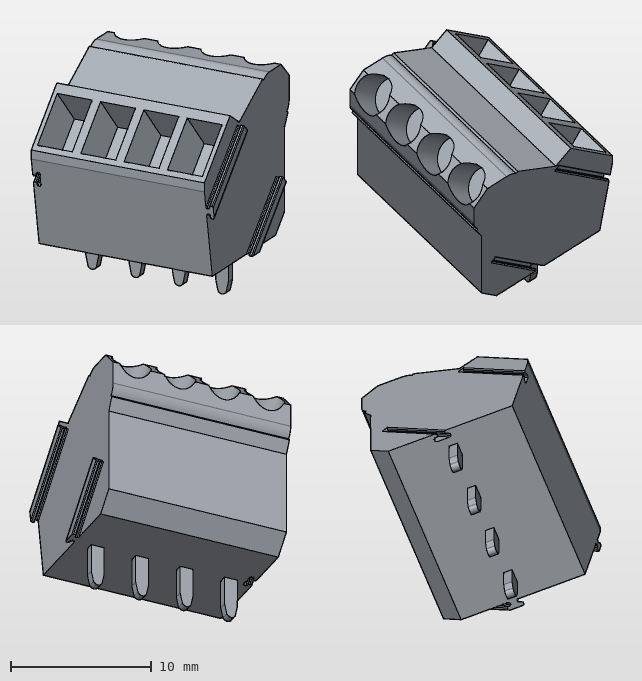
import cadquery as cq
import math

SQRT2 = math.sqrt(2)

TERMINAL_COUNT = 4
PITCH = 3.5
HOUSING_WIDTH = TERMINAL_COUNT * PITCH
TERMINAL_X = [(i + 0.5) * PITCH for i in range(TERMINAL_COUNT)]

HEAD_SIZE = 12.7
HEAD_CHAMFER = 1.24
HEAD_FLAT_END = 9.71
NOTCH_ALONG = 8.85
NOTCH_ACROSS = 12.37
LIP_ALONG = 8.7
LIP_ACROSS = 12.5
ROUNDING_RUN = HEAD_FLAT_END - NOTCH_ALONG
ROUNDING_DROP = HEAD_SIZE - NOTCH_ACROSS
ROUNDING_RADIUS = (ROUNDING_RUN**2 + ROUNDING_DROP**2) / (2 * ROUNDING_DROP)

REAR_Y = 12.0
REAR_STEP_Z = 7.78
REAR_CHAMFER = 1.35
VALLEY_Y = 5.22
VALLEY_Z = 10.38
WIRE_FACE_RUN = 3.83
WIRE_FACE_LOW_Z = 7.49
FRONT_SLOPE_TOP_Z = 6.8
FRONT_FOOT_Y = 1.18

SCREW_HOLE_DIAMETER = 2.99
SCREW_HOLE_DEPTH = 2.7

FUNNEL_WIDTH = 2.81
FUNNEL_HEIGHT = 4.18
FUNNEL_DEPTH = 2.48
FUNNEL_TAPER = 15.5
FUNNEL_CENTRE_Y = 1.8
FUNNEL_CENTRE_Z = WIRE_FACE_LOW_Z + FUNNEL_CENTRE_Y

RAIL_DEPTH = 0.6
RAIL_NECK_DEPTH = 0.29
RAIL_NECK_WIDTH = 0.4
RAIL_HEAD_WIDTH = 0.86
RAIL_CHAMFER = 0.08
UPPER_RAIL_TOP = (5.1, 10.05)
RAIL_SPACING = 8.2
LOWER_RAIL_TOP = (
    UPPER_RAIL_TOP[0] + RAIL_SPACING / SQRT2,
    UPPER_RAIL_TOP[1] - RAIL_SPACING / SQRT2,
)
RAIL_CUT_LENGTH = 15.9

PIN_LENGTH = 3.2
PIN_WIDTH = 1.02
PIN_THICKNESS = 0.64
PIN_Y = 6.19
PIN_TAPER_START = 2.2
PIN_TIP_START = 2.99
PIN_TIP_WIDTH = 0.67


def outline_block(length):
    """Prism of the housing side outline, from X = 0 along +X."""
    return (
        cq.Workplane("YZ")
        .moveTo(FRONT_FOOT_Y, 0)
        .lineTo(0, FRONT_SLOPE_TOP_Z)
        .lineTo(0, WIRE_FACE_LOW_Z)
        .line(WIRE_FACE_RUN, WIRE_FACE_RUN)
        .lineTo(VALLEY_Y, VALLEY_Z)
        .lineTo(LIP_ALONG, LIP_ACROSS)
        .lineTo(NOTCH_ALONG, NOTCH_ACROSS)
        .radiusArc((HEAD_FLAT_END, HEAD_SIZE), ROUNDING_RADIUS)
        .lineTo(HEAD_SIZE - HEAD_CHAMFER, HEAD_SIZE)
        .line(HEAD_CHAMFER, -HEAD_CHAMFER)
        .lineTo(HEAD_SIZE, HEAD_FLAT_END)
        .radiusArc((NOTCH_ACROSS, NOTCH_ALONG), ROUNDING_RADIUS)
        .lineTo(LIP_ACROSS, LIP_ALONG)
        .lineTo(REAR_Y, REAR_STEP_Z)
        .lineTo(REAR_Y, REAR_CHAMFER)
        .line(-REAR_CHAMFER, -REAR_CHAMFER)
        .close()
        .extrude(length)
    )


def screw_hole(x):
    """Cylinder entering the middle of the head chamfer; its upper end stands clear of the head."""
    chamfer_middle = HEAD_SIZE - HEAD_CHAMFER / 2
    clearance = SCREW_HOLE_DIAMETER
    start = chamfer_middle + clearance / SQRT2
    plane = cq.Plane(origin=(x, start, start), xDir=(1, 0, 0), normal=(0, -1, -1))
    return cq.Workplane(plane).circle(SCREW_HOLE_DIAMETER / 2).extrude(clearance + SCREW_HOLE_DEPTH)


def wire_funnel(x):
    """Rectangular pocket that narrows inward from the wire face."""
    plane = cq.Plane(origin=(x, FUNNEL_CENTRE_Y, FUNNEL_CENTRE_Z), xDir=(1, 0, 0), normal=(0, 1, -1))
    return (
        cq.Workplane(plane)
        .rect(FUNNEL_WIDTH, FUNNEL_HEIGHT)
        .extrude(FUNNEL_DEPTH, taper=FUNNEL_TAPER)
    )


def rail(x, top):
    """T-shaped bar rooted at the plane X = x, running down and forward from its upper end."""
    plane = cq.Plane(origin=(x, *top), xDir=(1, 0, 0), normal=(0, -1, -1))
    neck = RAIL_NECK_WIDTH / 2
    head = RAIL_HEAD_WIDTH / 2
    half_profile = [
        (0, neck + RAIL_CHAMFER),
        (RAIL_CHAMFER, neck),
        (RAIL_NECK_DEPTH - RAIL_CHAMFER, neck),
        (RAIL_NECK_DEPTH, neck + RAIL_CHAMFER),
        (RAIL_NECK_DEPTH, head - RAIL_CHAMFER),
        (RAIL_NECK_DEPTH + RAIL_CHAMFER, head),
        (RAIL_DEPTH - RAIL_CHAMFER, head),
        (RAIL_DEPTH, head - RAIL_CHAMFER),
    ]
    other_half = [(depth, -offset) for depth, offset in reversed(half_profile)]
    return cq.Workplane(plane).polyline(half_profile + other_half).close().extrude(RAIL_CUT_LENGTH)


def make_housing():
    housing = outline_block(HOUSING_WIDTH)
    rail_limit = outline_block(HOUSING_WIDTH + RAIL_DEPTH)
    for top in (UPPER_RAIL_TOP, LOWER_RAIL_TOP):
        housing = housing.cut(rail(0, top))
        housing = housing.union(rail(HOUSING_WIDTH, top).intersect(rail_limit))
    for x in TERMINAL_X:
        housing = housing.cut(screw_hole(x)).cut(wire_funnel(x))
    return housing


def make_solder_pin(x):
    """Flat pin hanging from the housing underside, tapered to a rounded tip."""
    return (
        cq.Workplane("XZ", origin=(x, PIN_Y + PIN_THICKNESS / 2, 0))
        .moveTo(-PIN_WIDTH / 2, 0)
        .lineTo(-PIN_WIDTH / 2, -PIN_TAPER_START)
        .lineTo(-PIN_TIP_WIDTH / 2, -PIN_TIP_START)
        .threePointArc((0, -PIN_LENGTH), (PIN_TIP_WIDTH / 2, -PIN_TIP_START))
        .lineTo(PIN_WIDTH / 2, -PIN_TAPER_START)
        .lineTo(PIN_WIDTH / 2, 0)
        .close()
        .extrude(PIN_THICKNESS)
    )


housing = make_housing()
solder_pins = [make_solder_pin(x) for x in TERMINAL_X]

result = cq.Compound.makeCompound([housing.val(), *[pin.val() for pin in solder_pins]])